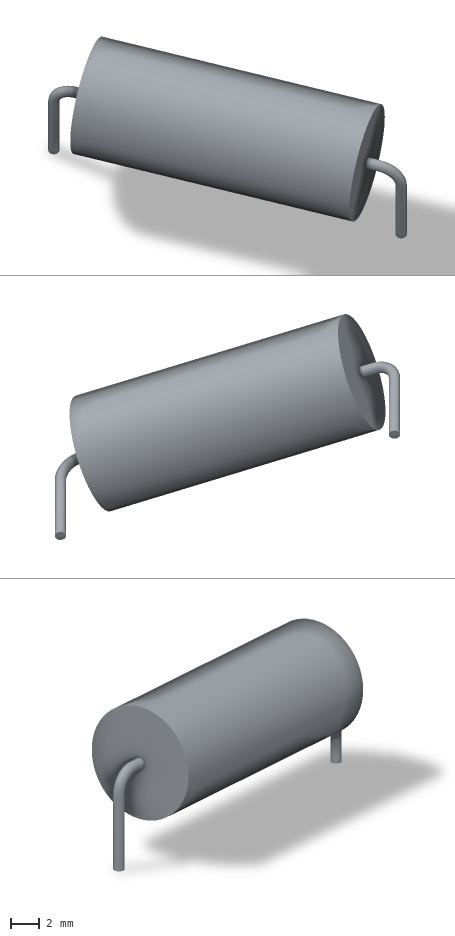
import cadquery as cq

body_diameter = 8.5
body_length = 20.51

overall_length = 26.3
overall_height = 11.5
lead_width = 0.8
lead_flat = 0.03
bend_radius = 1.6

lead_x = (overall_length - lead_width) / 2
lead_bottom_z = body_diameter / 2 - overall_height
bend_start_x = lead_x - bend_radius
lead_corner_radius = (lead_width - lead_flat) / 2


def make_body():
    """Plain cylinder centred on the origin."""
    start_plane = cq.Workplane("YZ", origin=(-body_length / 2, 0, 0))
    return start_plane.circle(body_diameter / 2).extrude(body_length)


def make_lead(side):
    """Nearly round wire leaving one end face and bending down; side is -1 or +1 along X."""
    face_x = side * body_length / 2
    path = (
        cq.Workplane("XZ")
        .moveTo(face_x, 0)
        .lineTo(side * bend_start_x, 0)
        .tangentArcPoint((side * lead_x, -bend_radius), relative=False)
        .lineTo(side * lead_x, lead_bottom_z)
    )
    profile = cq.Sketch().rect(lead_width, lead_width).vertices().fillet(lead_corner_radius)
    wire_section = cq.Workplane("YZ", origin=(face_x, 0, 0)).placeSketch(profile)
    return wire_section.sweep(path)


body = make_body()
leads = [make_lead(side) for side in (-1, 1)]

result = cq.Compound.makeCompound([body.val(), *[lead.val() for lead in leads]])